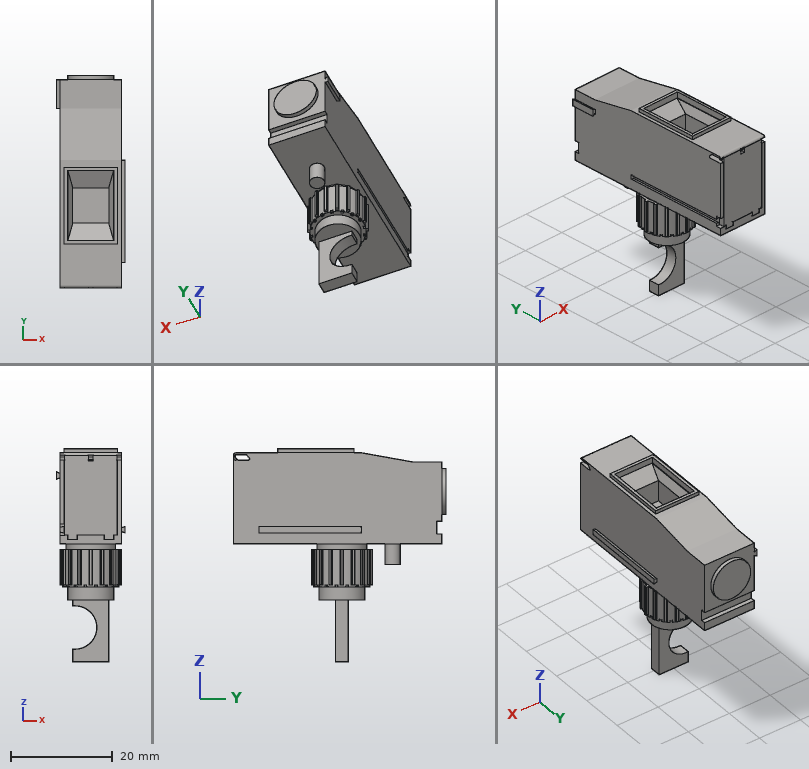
import cadquery as cq


total_height = 41.9

width = 12.15
half_width = width / 2
length = 40.98
height = 17.95
rear_height = 16.15
rear_roof_start = 35.3
slope_start = 25.2
front_edge_radius = 0.55
rear_notch_depth = 0.95
rear_notch_bottom = 1.95
rear_notch_top = 4.45

boss_diameter = 9.15
boss_length = 0.85
boss_z = 10.3

frame_width = 10.55
frame_start = 8.7
frame_end = 23.75
frame_rise = 0.8
frame_top = height + frame_rise
frame_wall = 0.65
window_side_ledge = 0.13
window_straight_depth = 1.4
window_slope_depth = 1.8
well_width = 7.1
well_length = 6.95
well_depth = 5.03

panel_width = 10.3
panel_thickness = 0.38
panel_set_back = 0.05
panel_side_gap = 0.13
panel_bottom = 1.75
panel_top = height - front_edge_radius
tab_drop = 0.85
tab_width = 1.75
tab_x = 3.6

slot_top = 17.5
slot_bottom = 16.45
slot_roof_end = 2.55
slot_floor_end = 3.48
slot_corner_radius = 0.25
slot_lip_radius = 0.85
latch_width = 0.95
latch_depth = 0.85
latch_bottom = 16.35

rib_height = 0.65
upper_rib_z = 13.45
upper_rib_start = rear_roof_start
upper_rib_root = 0.95
upper_rib_tip = 1.5
lower_rib_z = 2.8
lower_rib_start = 5.03
lower_rib_root = 0.85
lower_rib_tip = 1.25
groove_depth = half_width - panel_width / 2 - panel_side_gap
groove_mouth = 0.9
groove_base = 1.35
groove_mouth_length = 1.2
groove_mouth_bottom = 1.68
groove_mouth_top = 3.9

pin_diameter = 3.0
pin_length = 4.05
pin_y = 31.3
knob_y = 21.33
collar_diameter = 9.8
collar_length = 1.1
knob_core_diameter = 11.1
knob_outer_diameter = 12.03
knob_end = -8.42
teeth_end = -8.05
tooth_count = 16
tooth_width = 0.65
tooth_chamfer = 0.13
rim_notch_width = 0.5
rim_notch_depth = 0.4
hub_diameter = 9.1
hub_end = -11.0

blade_width = 7.12
blade_thickness = 2.55
blade_end = frame_top - total_height
mouth_radius = 4.25
mouth_x = -3.05
mouth_z = -16.42


def box(x_min, x_max, y_min, y_max, z_min, z_max):
    size = (x_max - x_min, y_max - y_min, z_max - z_min)
    return cq.Workplane("XY").box(*size, centered=False).translate((x_min, y_min, z_min))


def centred_box(box_width, y_min, y_max, z_min, z_max):
    return box(-box_width / 2, box_width / 2, y_min, y_max, z_min, z_max)


def cylinder(diameter, y, z_top, z_bottom):
    disc = cq.Workplane("XY").workplane(offset=z_bottom).center(0, y).circle(diameter / 2)
    return disc.extrude(z_top - z_bottom)


def side_extrusion(outline, x_start, extrusion_width):
    """Extrude a closed list of (y, z) points along +X."""
    return cq.Workplane("YZ").workplane(offset=x_start).polyline(outline).close().extrude(extrusion_width)


def dovetail(x_start, x_end, start_width, end_width, z, y_min, y_max):
    """Bar along Y whose height changes from x_start to x_end."""
    outline = [
        (x_start, z - start_width / 2),
        (x_end, z - end_width / 2),
        (x_end, z + end_width / 2),
        (x_start, z + start_width / 2),
    ]
    bar = cq.Workplane("XZ").polyline(outline).close().extrude(y_min - y_max)
    return bar.translate((0, y_min, 0))


def housing():
    outline = [
        (0, 0),
        (length, 0),
        (length, rear_notch_bottom),
        (length - rear_notch_depth, rear_notch_bottom),
        (length - rear_notch_depth, rear_notch_top),
        (length, rear_notch_top),
        (length, rear_height),
        (rear_roof_start, rear_height),
        (slope_start, height),
        (0, height),
    ]
    body = side_extrusion(outline, -half_width, width)
    return body.edges("|X and <Y and >Z").fillet(front_edge_radius)


def rear_boss():
    disc = cq.Workplane("XZ").center(0, boss_z).circle(boss_diameter / 2).extrude(-boss_length)
    return disc.translate((0, length, 0))


def window_frame():
    return centred_box(frame_width, frame_start, frame_end, height, frame_top)


def window_opening():
    """Straight mouth, funnel and well, from the frame downwards."""
    mouth_width = frame_width - 2 * frame_wall
    mouth_start = frame_start + frame_wall
    mouth_end = frame_end - frame_wall
    middle_y = (mouth_start + mouth_end) / 2
    funnel_top = frame_top - window_straight_depth
    funnel_bottom = funnel_top - window_slope_depth
    mouth = centred_box(mouth_width, mouth_start, mouth_end, funnel_top, frame_top)
    funnel = (
        cq.Workplane("XY")
        .workplane(offset=funnel_top)
        .center(0, middle_y)
        .rect(mouth_width - 2 * window_side_ledge, mouth_end - mouth_start)
        .workplane(offset=-window_slope_depth)
        .rect(well_width, well_length)
        .loft(ruled=True)
    )
    well = centred_box(
        well_width,
        middle_y - well_length / 2,
        middle_y + well_length / 2,
        funnel_bottom - well_depth,
        funnel_bottom,
    )
    return mouth.union(funnel).union(well)


def panel_outline(gap, y_min, y_max):
    """Front panel with two tabs at its lower edge, widened by a gap at its sides."""
    plate = centred_box(panel_width + 2 * gap, y_min, y_max, panel_bottom, panel_top)
    for x in (-tab_x, tab_x):
        tab = centred_box(tab_width + 2 * gap, y_min, y_max, panel_bottom - tab_drop, panel_bottom)
        plate = plate.union(tab.translate((x, 0, 0)))
    return plate


def top_slot():
    """Slot across the housing, open to the front on both sides of the panel."""
    outline = [
        (0, slot_bottom),
        (slot_floor_end, slot_bottom),
        (slot_roof_end, slot_top),
        (0, slot_top),
    ]
    slot = side_extrusion(outline, -half_width, width)
    slot = slot.edges("|X and >Y and <Z").fillet(slot_corner_radius)
    lip = centred_box(panel_width, 0, panel_thickness, slot_bottom, slot_top)
    corner_y = panel_thickness + slot_lip_radius
    corner = centred_box(panel_width, panel_thickness, corner_y, slot_bottom, slot_bottom + slot_lip_radius)
    lip_round = (
        cq.Workplane("YZ")
        .workplane(offset=-half_width)
        .center(corner_y, slot_bottom + slot_lip_radius)
        .circle(slot_lip_radius)
        .extrude(width)
    )
    latch = centred_box(latch_width, 0, latch_depth, latch_bottom, slot_top)
    return slot.cut(lip).cut(corner.cut(lip_round)).union(latch)


def side_groove():
    """Dovetail groove in the -X side with a wider mouth at the front."""
    base_x = -half_width + groove_depth
    groove = dovetail(-half_width, base_x, groove_mouth, groove_base, lower_rib_z, 0, slope_start)
    mouth = box(
        -half_width, -panel_width / 2, 0, groove_mouth_length, groove_mouth_bottom, groove_mouth_top
    )
    return groove.union(mouth)


def side_ribs():
    upper = dovetail(
        -half_width, -half_width - rib_height, upper_rib_root, upper_rib_tip,
        upper_rib_z, upper_rib_start, length,
    )
    lower = dovetail(
        half_width, half_width + rib_height, lower_rib_root, lower_rib_tip,
        lower_rib_z, lower_rib_start, slope_start,
    )
    return upper, lower


def knob():
    """Toothed knob on the Z axis, between a collar and a hub."""
    core_radius = knob_core_diameter / 2
    tooth = box(0, knob_outer_diameter / 2, -tooth_width / 2, tooth_width / 2, teeth_end, -collar_length)
    tooth = tooth.edges("|Z and >X").chamfer(tooth_chamfer)
    rim_notch = box(
        core_radius - rim_notch_depth, core_radius + rim_notch_depth,
        -rim_notch_width / 2, rim_notch_width / 2, knob_end, teeth_end,
    )
    pitch = 360 / tooth_count
    body = cylinder(knob_core_diameter, 0, -collar_length, knob_end)
    for i in range(tooth_count):
        body = body.union(tooth.rotate((0, 0, 0), (0, 0, 1), i * pitch))
        body = body.cut(rim_notch.rotate((0, 0, 0), (0, 0, 1), (i + 0.5) * pitch))
    body = body.union(cylinder(collar_diameter, 0, 0, -collar_length))
    return body.union(cylinder(hub_diameter, 0, knob_end, hub_end))


def blade():
    plate = centred_box(blade_width, -blade_thickness / 2, blade_thickness / 2, blade_end, hub_end)
    mouth = (
        cq.Workplane("XZ")
        .workplane(offset=-blade_thickness / 2)
        .center(mouth_x, mouth_z)
        .circle(mouth_radius)
        .extrude(blade_thickness)
    )
    mouth_entry = box(
        -blade_width / 2, mouth_x, -blade_thickness / 2, blade_thickness / 2,
        mouth_z - mouth_radius, mouth_z + mouth_radius,
    )
    return plate.cut(mouth).cut(mouth_entry)


result = housing().union(rear_boss()).union(window_frame()).cut(window_opening())

result = result.cut(panel_outline(panel_side_gap, 0, panel_thickness))
result = result.union(panel_outline(0, panel_set_back, panel_thickness))
result = result.cut(top_slot()).cut(side_groove())

for rib in side_ribs():
    result = result.union(rib)

result = result.union(cylinder(pin_diameter, pin_y, 0, -pin_length))
result = result.union(knob().union(blade()).translate((0, knob_y, 0)))